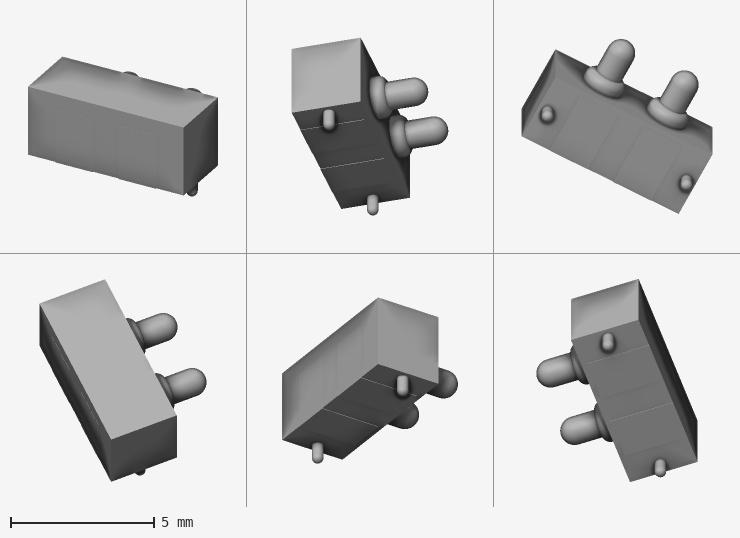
import cadquery as cq

body_length = 6.19
body_depth = 2.5
body_height = 2.7

contact_pitch = 2.5
contact_xs = (-contact_pitch / 2, contact_pitch / 2)

flange_diameter = 1.5
flange_length = 0.5
flange_round = 0.3
plunger_diameter = 1.0
contact_reach = 1.9

pad_width = 1.5
pad_top_margin = 0.6
pad_back_margin = 0.2
front_pad_thickness = 0.005
bottom_pad_thickness = 0.02

peg_diameter = 0.4
peg_spacing = 5.485
peg_length = 0.7
peg_xs = (-peg_spacing / 2, peg_spacing / 2)


def domed_rod(diameter, length):
    """Rod along +Z from the origin, ending in a hemisphere."""
    radius = diameter / 2
    straight = length - radius
    return (
        cq.Workplane("XY").circle(radius).extrude(straight)
        .union(cq.Workplane("XY").sphere(radius).translate((0, 0, straight)))
    )


def spring_contact():
    """Round-shouldered flange and domed plunger along +Z."""
    flange = (
        cq.Workplane("XY").circle(flange_diameter / 2).extrude(flange_length)
        .faces(">Z").edges().fillet(flange_round)
    )
    return flange.union(domed_rod(plunger_diameter, contact_reach))


def solder_pad():
    """L-shaped pad wrapping the lower front edge of the housing."""
    front = -body_depth / 2 - front_pad_thickness
    back = body_depth / 2 - pad_back_margin
    top = body_height - pad_top_margin
    return (
        cq.Workplane("YZ")
        .moveTo(front, -bottom_pad_thickness)
        .lineTo(back, -bottom_pad_thickness)
        .lineTo(back, 0)
        .lineTo(-body_depth / 2, 0)
        .lineTo(-body_depth / 2, top)
        .lineTo(front, top)
        .close()
        .extrude(pad_width / 2, both=True)
    )


result = cq.Workplane("XY").box(body_length, body_depth, body_height, centered=(True, True, False))

contact = spring_contact().rotate((0, 0, 0), (1, 0, 0), -90)
for x in contact_xs:
    result = result.union(contact.translate((x, body_depth / 2, body_height / 2)))
    result = result.union(solder_pad().translate((x, 0, 0)))

peg = domed_rod(peg_diameter, peg_length).rotate((0, 0, 0), (1, 0, 0), 180)
for x in peg_xs:
    result = result.union(peg.translate((x, 0, 0)))